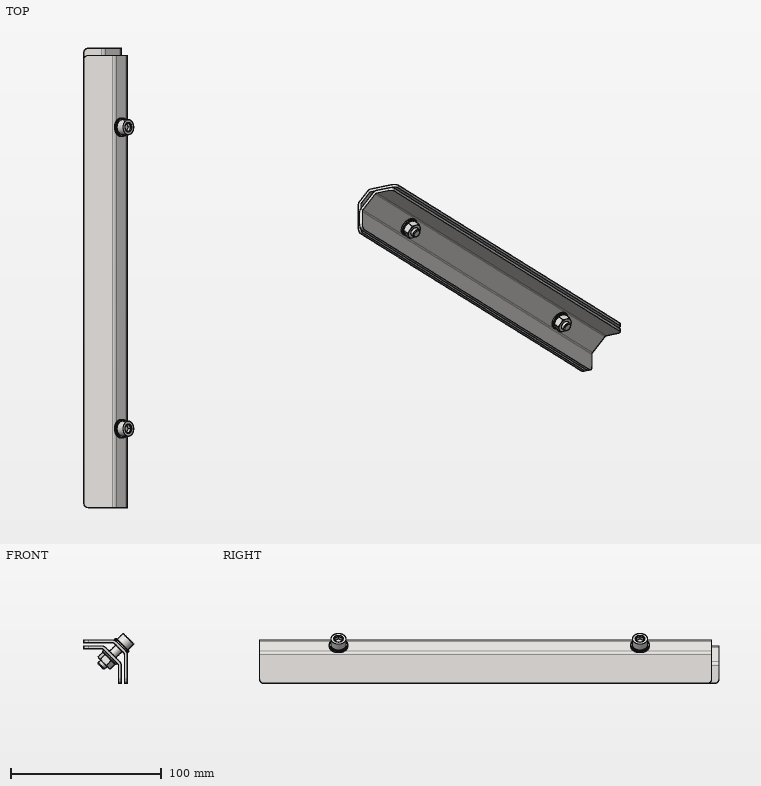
import cadquery as cq
import math

overall_length = 305.0
overall_width = 33.2
leg_end = -overall_width / 2

outer_leg = 29.0
outer_flat = 11.5
outer_length = 300.0
inner_leg = 25.0
inner_flat = 3.7
sheet_thickness = 2.0
bend_radius = 1.5
corner_radius = 3.0
screw_spacing = 200.0
bracket_hole_diameter = 6.7

shank_diameter = 6.0
shank_length = 20.5
tip_chamfer = 0.5
head_diameter = 10.0
socket_width = 5.0
socket_depth = 3.0
socket_mouth_diameter = 6.5
socket_mouth_depth = 0.5

washer_diameter = 12.5
washer_hole_diameter = 6.5
washer_thickness = 1.37
washer_chamfer = 0.3

nut_width = 10.0
nut_height = 5.0
nut_chamfer_angle = 30.0
nut_turn = -8.0

head_seat = outer_flat + washer_thickness
head_top = overall_width / math.sqrt(2) - head_diameter / 2
inner_back = inner_flat - sheet_thickness
nut_seat = inner_back - washer_thickness

start_y = -overall_length / 2
screw_positions = [-screw_spacing / 2, screw_spacing / 2]


def on_axis(body, y):
    """Tilt a body from the Z axis onto the fastener axis at the given Y."""
    return body.rotate((0, 0, 0), (0, 1, 0), 45).translate((0, y, 0))


def across_corners(across_flats):
    return across_flats / math.cos(math.radians(30))


def angle_bracket(leg, flat, length):
    """Two perpendicular legs joined by a 45-degree strip that has one hole per screw."""
    outside = leg_end + leg
    outside_turn = math.sqrt(2) * flat - outside
    inside = outside - sheet_thickness
    inside_turn = math.sqrt(2) * (flat - sheet_thickness) - inside
    bracket = (
        cq.Workplane("XZ", origin=(0, start_y, 0))
        .polyline([
            (leg_end, outside),
            (outside_turn, outside),
            (outside, outside_turn),
            (outside, leg_end),
            (inside, leg_end),
            (inside, inside_turn),
            (inside_turn, inside),
            (leg_end, inside),
        ])
        .close()
        .extrude(-length)
    )

    middle_y = start_y + length / 2
    bends = [
        (outside_turn, outside, bend_radius + sheet_thickness),
        (outside, outside_turn, bend_radius + sheet_thickness),
        (inside_turn, inside, bend_radius),
        (inside, inside_turn, bend_radius),
    ]
    for x, z, radius in bends:
        bracket = bracket.edges(cq.NearestToPointSelector((x, middle_y, z))).fillet(radius)

    bracket = bracket.faces("<X").edges("|Z").fillet(corner_radius)
    bracket = bracket.faces("<Z").edges("|X").fillet(corner_radius)

    drill = cq.Workplane("XY").circle(bracket_hole_diameter / 2).extrude(overall_width)
    for y in screw_positions:
        bracket = bracket.cut(on_axis(drill, y))
    return bracket


def washer():
    """Washer standing on Z = 0, its upper rim chamfered."""
    disc = cq.Workplane("XY").circle(washer_diameter / 2).extrude(washer_thickness)
    disc = disc.faces(">Z").chamfer(washer_chamfer)
    return disc.faces("<Z").workplane().hole(washer_hole_diameter)


def outer_washer():
    return washer().translate((0, 0, head_seat - washer_thickness))


def inner_washer():
    """The same washer turned over, lying against the back of the inner bracket."""
    return washer().rotate((0, 0, 0), (1, 0, 0), 180).translate((0, 0, inner_back))


def socket_screw():
    seat_plane = cq.Workplane("XY", origin=(0, 0, head_seat))
    head = seat_plane.circle(head_diameter / 2).extrude(head_top - head_seat)
    shank = seat_plane.circle(shank_diameter / 2).extrude(-shank_length)
    shank = shank.faces("<Z").chamfer(tip_chamfer)

    top_plane = cq.Workplane("XY", origin=(0, 0, head_top))
    socket = top_plane.polygon(6, across_corners(socket_width)).extrude(-socket_depth)
    mouth = top_plane.circle(socket_mouth_diameter / 2).extrude(-socket_mouth_depth, taper=45)
    return head.union(shank).cut(socket).cut(mouth)


def hex_nut():
    corner_diameter = across_corners(nut_width)
    chamfer_width = (corner_diameter - nut_width) / 2
    chamfer_height = chamfer_width * math.tan(math.radians(nut_chamfer_angle))
    seat_plane = cq.Workplane("XY", origin=(0, 0, nut_seat))
    prism = seat_plane.polygon(6, corner_diameter).extrude(-nut_height)
    envelope = (
        seat_plane.circle(corner_diameter / 2)
        .extrude(-nut_height)
        .faces("<Z or >Z")
        .chamfer(chamfer_height, chamfer_width)
    )
    bore = seat_plane.circle(shank_diameter / 2).extrude(-nut_height)
    nut = prism.intersect(envelope).cut(bore)
    return nut.rotate((0, 0, 0), (0, 0, 1), nut_turn)


outer_bracket = angle_bracket(outer_leg, outer_flat, outer_length)
inner_bracket = angle_bracket(inner_leg, inner_flat, overall_length)

fasteners = []
for y in screw_positions:
    for make_fastener in (socket_screw, outer_washer, inner_washer, hex_nut):
        fasteners.append(on_axis(make_fastener(), y).val())

result = cq.Compound.makeCompound([outer_bracket.val(), inner_bracket.val(), *fasteners])